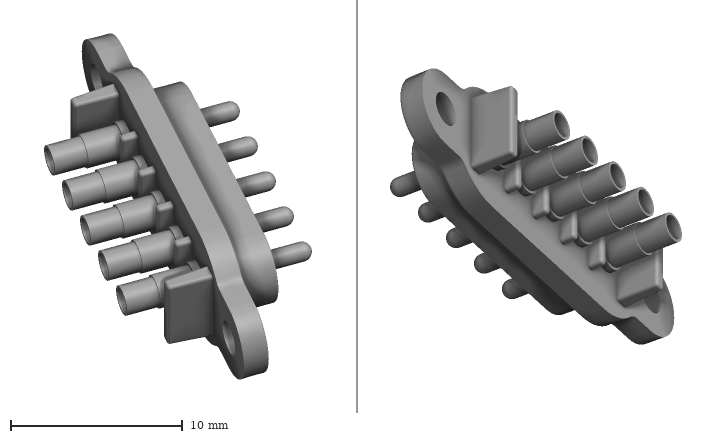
import cadquery as cq
import math

overall_length = 27.0
flange_height = 8.0
flange_thickness = 1.6
flange_edge_round = 0.14
draft_angle = 1.0

ear_radius = 2.5
ear_hole_diameter = 2.1
neck_radius = 1.0

body_end_x = 6.0
body_height = 4.97
body_rear = 4.08
body_edge_round = 0.14

contact_count = 5
contact_pitch = 3.0
pin_radius = 0.6
pin_tip = 7.0
collar_radius = 1.2
collar_length = 0.49
barrel_radius = 1.03
barrel_length = 2.75
cup_radius = 0.92
cup_length = 4.8
cup_bore_radius = 0.75

end_rib_x = 7.8
end_rib_length = 2.75
end_rib_base = (1.03, 5.1)
end_rib_tip = (0.73, 4.85)
divider_length = 0.97
divider_base = (0.6, 4.1)
divider_tip = (0.5, 4.02)
rib_corner_radius = 0.2
rib_tip_round = 0.2

half_height = flange_height / 2
ear_x = overall_length / 2 - ear_radius
neck_z = ear_radius + neck_radius
neck_x = body_end_x + math.sqrt((half_height + neck_radius) ** 2 - neck_z ** 2)
contact_xs = [(i - (contact_count - 1) / 2) * contact_pitch for i in range(contact_count)]
divider_xs = [x + contact_pitch / 2 for x in contact_xs[:-1]]

rearward = cq.Plane(origin=(0, 0, 0), xDir=(1, 0, 0), normal=(0, 1, 0))


def point_on_circle(center_x, center_z, radius, angle):
    return (center_x + radius * math.cos(angle), center_z + radius * math.sin(angle))


def flange_outline():
    """Outline of the drafted plate: rounded centre, concave necks, round ears."""
    join_angle = math.atan2(neck_z, neck_x - body_end_x)
    shoulder_mid_angle = (join_angle + math.pi / 2) / 2
    neck_mid_angle = (join_angle + math.pi + 3 * math.pi / 2) / 2
    join = point_on_circle(body_end_x, 0, half_height, join_angle)
    shoulder_mid = point_on_circle(body_end_x, 0, half_height, shoulder_mid_angle)
    neck_mid = point_on_circle(neck_x, neck_z, neck_radius, neck_mid_angle)

    def left(point):
        return (-point[0], point[1])

    def lower(point):
        return (point[0], -point[1])

    return (
        cq.Workplane(rearward)
        .moveTo(-body_end_x, half_height)
        .lineTo(body_end_x, half_height)
        .threePointArc(shoulder_mid, join)
        .threePointArc(neck_mid, (neck_x, ear_radius))
        .lineTo(ear_x, ear_radius)
        .threePointArc((overall_length / 2, 0), (ear_x, -ear_radius))
        .lineTo(neck_x, -ear_radius)
        .threePointArc(lower(neck_mid), lower(join))
        .threePointArc(lower(shoulder_mid), (body_end_x, -half_height))
        .lineTo(-body_end_x, -half_height)
        .threePointArc(left(lower(shoulder_mid)), left(lower(join)))
        .threePointArc(left(lower(neck_mid)), (-neck_x, -ear_radius))
        .lineTo(-ear_x, -ear_radius)
        .threePointArc((-overall_length / 2, 0), (-ear_x, ear_radius))
        .lineTo(-neck_x, ear_radius)
        .threePointArc(left(neck_mid), left(join))
        .threePointArc(left(shoulder_mid), (-body_end_x, half_height))
        .close()
    )


def make_flange():
    plate = flange_outline().extrude(flange_thickness, taper=draft_angle)
    return plate.faces(">Y").edges().fillet(flange_edge_round)


def make_ear_holes():
    return (
        cq.Workplane(rearward)
        .pushPoints([(-ear_x, 0), (ear_x, 0)])
        .circle(ear_hole_diameter / 2)
        .extrude(flange_thickness)
    )


def make_body():
    """Drafted block with round ends standing on the rear of the flange."""
    block = (
        cq.Workplane(rearward)
        .workplane(offset=flange_thickness)
        .slot2D(2 * body_end_x + body_height, body_height)
        .extrude(body_rear - flange_thickness, taper=draft_angle)
    )
    return block.faces(">Y").edges().fillet(body_edge_round)


def make_contact(x):
    """Turned contact: stepped solder cup in front, round-ended pin behind."""
    pin_straight_end = pin_tip - pin_radius
    dome_offset = pin_radius * math.sqrt(0.5)
    contact = (
        cq.Workplane("XY")
        .moveTo(0, -cup_length)
        .lineTo(cup_radius, -cup_length)
        .lineTo(cup_radius, -barrel_length)
        .lineTo(barrel_radius, -barrel_length)
        .lineTo(barrel_radius, -collar_length)
        .lineTo(collar_radius, -collar_length)
        .lineTo(collar_radius, flange_thickness)
        .lineTo(pin_radius, flange_thickness)
        .lineTo(pin_radius, pin_straight_end)
        .threePointArc((dome_offset, pin_straight_end + dome_offset), (0, pin_tip))
        .close()
        .revolve(360, (0, 0, 0), (0, 1, 0))
    )
    bore = (
        cq.Workplane(rearward)
        .workplane(offset=-cup_length)
        .circle(cup_bore_radius)
        .extrude(cup_length - barrel_length)
    )
    return contact.cut(bore).translate((x, 0, 0))


def make_rib(x, base, tip, length):
    """Tapered blade on the front of the flange with rounded edges."""
    rib = (
        cq.Workplane("XZ")
        .rect(*base)
        .workplane(offset=length)
        .rect(*tip)
        .loft(ruled=True)
    )
    rib = rib.edges("not #Y").fillet(rib_corner_radius)
    rib = rib.faces("<Y").edges().fillet(rib_tip_round)
    return rib.translate((x, 0, 0))


result = make_flange().union(make_body()).cut(make_ear_holes())
for contact_x in contact_xs:
    result = result.union(make_contact(contact_x))
for rib_x in (-end_rib_x, end_rib_x):
    result = result.union(make_rib(rib_x, end_rib_base, end_rib_tip, end_rib_length))
for divider_x in divider_xs:
    result = result.union(make_rib(divider_x, divider_base, divider_tip, divider_length))